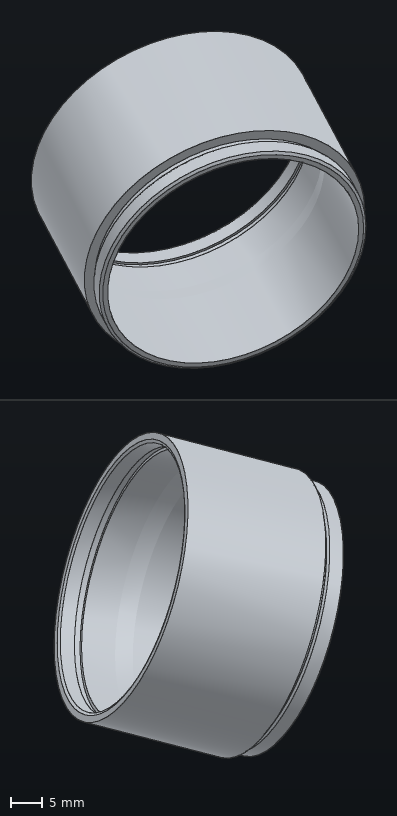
import cadquery as cq
import math

total_length = 28.5
body_length = 24.5
body_diameter = 47.5
bore_diameter = 42.5

thread_major_diameter = 45.2
thread_minor_diameter = 44.19
lead_in_angle = 30
thread_height = (thread_major_diameter - thread_minor_diameter) / 2
lead_in_length = thread_height * math.tan(math.radians(lead_in_angle))

neck_diameter = 44.0
neck_length = 1.0

female_thread_depth = 2.8
relief_diameter = 45.0
relief_width = 1.2
relief_end = female_thread_depth + relief_width
counterbore_diameter = 43.9
counterbore_end = 10.0
taper_length = 2.8


def revolve_about_x(profile_points):
    """Solid of revolution from (x, radius) points, closed along the X axis."""
    start_x = profile_points[0][0]
    end_x = profile_points[-1][0]
    outline = [(start_x, 0)] + profile_points + [(end_x, 0)]
    return cq.Workplane("XY").polyline(outline).close().revolve(360, (0, 0, 0), (1, 0, 0))


def make_outside():
    """Body, undercut neck and the male thread ring with a lead-in on both edges."""
    ring_start = body_length + neck_length
    return revolve_about_x([
        (0, body_diameter / 2),
        (body_length, body_diameter / 2),
        (body_length, neck_diameter / 2),
        (ring_start, neck_diameter / 2),
        (ring_start, thread_minor_diameter / 2),
        (ring_start + lead_in_length, thread_major_diameter / 2),
        (total_length - lead_in_length, thread_major_diameter / 2),
        (total_length, thread_minor_diameter / 2),
    ])


def make_inside():
    """Female thread with lead-in, its relief groove, a counterbore and a taper down to the through bore."""
    return revolve_about_x([
        (0, thread_major_diameter / 2),
        (lead_in_length, thread_minor_diameter / 2),
        (female_thread_depth, thread_minor_diameter / 2),
        (female_thread_depth, relief_diameter / 2),
        (relief_end, relief_diameter / 2),
        (relief_end, counterbore_diameter / 2),
        (counterbore_end, counterbore_diameter / 2),
        (counterbore_end + taper_length, bore_diameter / 2),
        (total_length, bore_diameter / 2),
    ])


result = make_outside().cut(make_inside())